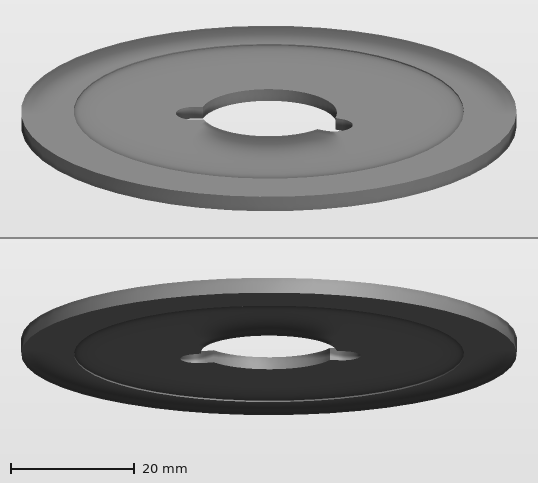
import cadquery as cq

RIM_DIAMETER = 80.0
RIM_THICKNESS = 2.5
RIM_OPENING_DIAMETER = 63.0

DISC_DIAMETER = 78.8
DISC_THICKNESS = 2.0
DISC_BOTTOM = (RIM_THICKNESS - DISC_THICKNESS) / 2

BORE_DIAMETER = 22.0
KEYWAY_WIDTH = 6.0
KEYWAY_END_RADIUS = 12.0
KEYWAY_ANGLES = (0, 210)


def cylinder(diameter, height, bottom=0.0):
    """Cylinder on the Z axis, standing at the given height."""
    return cq.Workplane("XY").workplane(offset=bottom).circle(diameter / 2).extrude(height)


def make_disc_blank():
    """Disc without its central opening; it also shapes the groove of the rim."""
    return cylinder(DISC_DIAMETER, DISC_THICKNESS, DISC_BOTTOM)


def make_rim():
    ring = cylinder(RIM_DIAMETER, RIM_THICKNESS).cut(cylinder(RIM_OPENING_DIAMETER, RIM_THICKNESS))
    return ring.cut(make_disc_blank())


def make_keyway(angle):
    """Radial slot through the disc, from the axis to its round outer end."""
    slot = (
        cq.Workplane("XY")
        .workplane(offset=DISC_BOTTOM)
        .center(KEYWAY_END_RADIUS / 2, 0)
        .slot2D(KEYWAY_END_RADIUS + KEYWAY_WIDTH, KEYWAY_WIDTH)
        .extrude(DISC_THICKNESS)
    )
    return slot.rotate((0, 0, 0), (0, 0, 1), angle)


def make_disc():
    disc = make_disc_blank().cut(cylinder(BORE_DIAMETER, DISC_THICKNESS, DISC_BOTTOM))
    for angle in KEYWAY_ANGLES:
        disc = disc.cut(make_keyway(angle))
    return disc


rim = make_rim()
disc = make_disc()

result = cq.Compound.makeCompound([rim.val(), disc.val()])